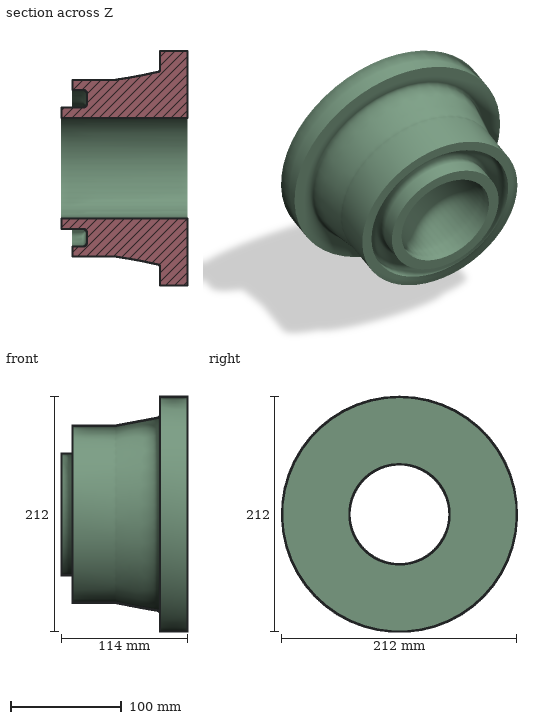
import cadquery as cq


total_length = 114.0
sleeve_projection = 10.0
flange_thickness = 25.0
cone_length = 40.0
groove_depth = 13.0

bore_diameter = 90.0
sleeve_diameter = 110.0
groove_outer_diameter = 141.0
body_diameter = 160.0
cone_base_diameter = 175.0
flange_diameter = 212.0

groove_floor_fillet = 3.5
flange_root_fillet = 2.0

flange_face_x = total_length - flange_thickness
cone_start_x = flange_face_x - cone_length
groove_floor_x = sleeve_projection + groove_depth


def axial_cylinder(diameter, length):
    """Solid cylinder on the X axis, from X = 0 to the given length."""
    return cq.Workplane("YZ").circle(diameter / 2).extrude(length)


def make_outer_body():
    """Body, cone and flange as one solid of revolution, filleted where the cone meets the flange."""
    profile = [
        (sleeve_projection, 0),
        (sleeve_projection, body_diameter / 2),
        (cone_start_x, body_diameter / 2),
        (flange_face_x, cone_base_diameter / 2),
        (flange_face_x, flange_diameter / 2),
        (total_length, flange_diameter / 2),
        (total_length, 0),
    ]
    body = cq.Workplane("XZ").polyline(profile).close().revolve(360, (0, 0, 0), (1, 0, 0))
    flange_face = body.faces("<X[1]")
    flange_root = flange_face.edges(cq.selectors.RadiusNthSelector(0))
    return flange_root.fillet(flange_root_fillet)


def make_groove():
    """Annular cutter with a rounded inner end, which leaves fillets along the groove floor."""
    ring = axial_cylinder(groove_outer_diameter, groove_floor_x)
    ring = ring.cut(axial_cylinder(sleeve_diameter, groove_floor_x))
    return ring.faces(">X").edges().fillet(groove_floor_fillet)


sleeve = axial_cylinder(sleeve_diameter, groove_floor_x)
bore = axial_cylinder(bore_diameter, total_length)

result = make_outer_body().union(sleeve).cut(make_groove()).cut(bore)